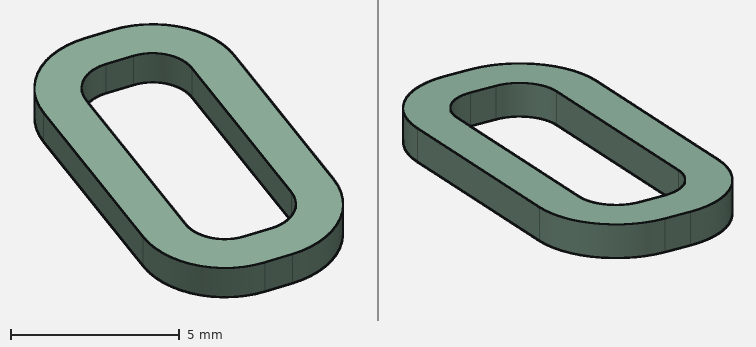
import cadquery as cq

length = 12.1
width = 6.3
thickness = 1.1
wall = 1.4
outer_corner_radius = 2.7
inner_corner_radius = outer_corner_radius - wall


def rounded_plate(size_x, size_y, corner_radius):
    """Plate centred on the origin with its vertical edges rounded."""
    plate = cq.Workplane("XY").box(size_x, size_y, thickness)
    return plate.edges("|Z").fillet(corner_radius)


body = rounded_plate(length, width, outer_corner_radius)
opening = rounded_plate(length - 2 * wall, width - 2 * wall, inner_corner_radius)

result = body.cut(opening)